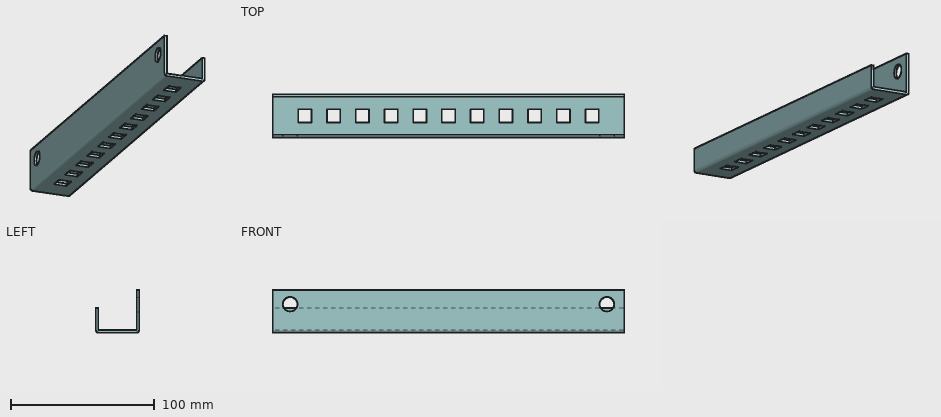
import cadquery as cq

length = 245.0
width = 30.5
front_height = 30.0
back_height = 17.5
thickness = 2.0
bend_radius = thickness

hole_diameter = 10.0
hole_end_distance = 12.2
hole_top_distance = 10.0

square_side = 9.0
square_end_distance = 22.5
square_count = 11
square_pitch = (length - 2 * square_end_distance) / (square_count - 1)


def channel():
    """Unequal-leg channel along X, with rounded outer bends and sharp inner corners."""
    front = -width / 2
    back = width / 2
    profile = (
        cq.Workplane("YZ", origin=(-length / 2, 0, 0))
        .moveTo(front, front_height)
        .lineTo(front, bend_radius)
        .radiusArc((front + bend_radius, 0), -bend_radius)
        .lineTo(back - bend_radius, 0)
        .radiusArc((back, bend_radius), -bend_radius)
        .lineTo(back, back_height)
        .lineTo(back - thickness, back_height)
        .lineTo(back - thickness, thickness)
        .lineTo(front + thickness, thickness)
        .lineTo(front + thickness, front_height)
        .close()
    )
    return profile.extrude(length)


def mounting_holes():
    """One round cutter near each end, passing through the front wall only."""
    hole_spacing = length - 2 * hole_end_distance
    hole_height = front_height - hole_top_distance
    return (
        cq.Workplane("XZ", origin=(0, -width / 2 + thickness, hole_height))
        .rarray(hole_spacing, 2.5, 2, 1)
        .circle(hole_diameter / 2)
        .extrude(thickness)
    )


def floor_holes():
    """Evenly spaced square cutters, centred on the floor."""
    return (
        cq.Workplane("XY")
        .rarray(square_pitch, 2.5, square_count, 1)
        .rect(square_side, square_side)
        .extrude(thickness)
    )


result = channel().cut(mounting_holes()).cut(floor_holes())